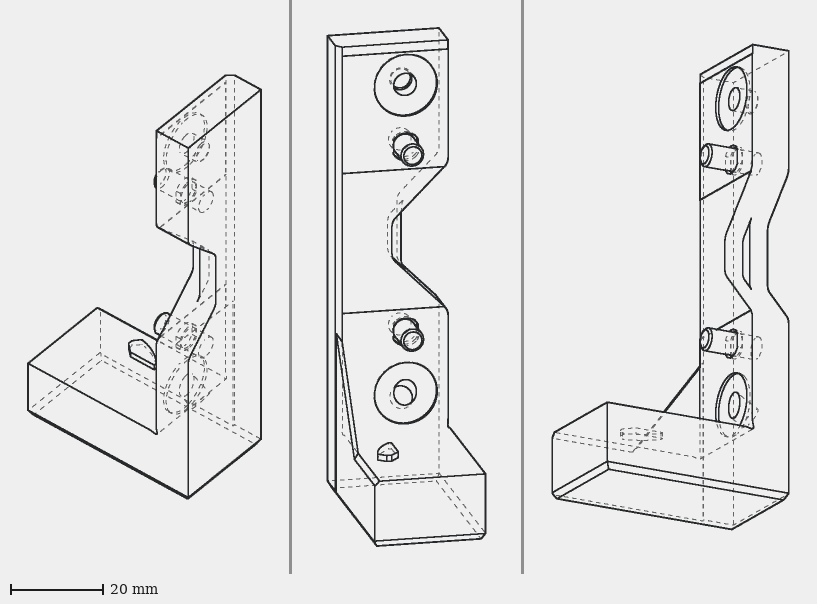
import cadquery as cq
import math


length = 45.0
width = 24.8
height = 102.6
plate_thickness = 9.0
base_height = 15.0
base_width = 24.6
base_chamfer = 1.0
plate_chamfer_run = 1.5
bottom_chamfer_height = 1.4
bottom_chamfer_inset = 0.8
plate_face_x = length - plate_thickness
flat_width = base_width - base_chamfer

pad_rise = 0.1
pad_top_z = 100.5
pad_gap_half = 15.9

notch_center_z = 58.0
notch_half_opening = 16.7
deep_notch = 12.5
shallow_notch = 9.4
notch_step_x = length - plate_thickness / 2
notch_fillet = 3.0

gusset_height = 20.5
gusset_run = 15.4

groove_depth = 0.3
groove_reach = 1.6
groove_radius = 0.5

hole_y = 9.4
hole_offset_z = 35.0
hole_diameter = 5.0
hole_depth = 4.6
spotface_diameter = 14.0
spotface_depth = 0.7
upper_hole_end_chamfer = 0.3
lower_hole_tilt = 30.0

pin_offset_z = 21.0
pin_diameter = 5.0
pin_projection = 6.7
pin_embedment = 6.2
pin_chamfer = 0.5
recess_diameter = 6.3
recess_width = 5.4
recess_depth = 1.2

leaf_height = 1.3
leaf_left_x = 13.6
leaf_right_x = 22.5
leaf_front_y = 15.8
leaf_left_front_y = 17.7
leaf_left_back_y = 18.9
leaf_front_corner_x = 15.8
leaf_right_back_y = 16.5
leaf_arc_middle = (19.1, 19.2)
leaf_back_corner = (15.1, 20.5)

overcut = 1.0


def box(x0, x1, y0, y1, z0, z1):
    """Block between two opposite corners."""
    return cq.Workplane("XY").box(x1 - x0, y1 - y0, z1 - z0, centered=False).translate((x0, y0, z0))


def face_sketch(z, depth):
    """Sketch on the hole centre line, below the plate face by depth and facing -X."""
    return cq.Workplane(cq.Plane(origin=(plate_face_x + depth, hole_y, z), xDir=(0, -1, 0), normal=(-1, 0, 0)))


def make_base():
    base = box(0, length, 0, base_width, 0, base_height)
    return base.edges(">Y and >Z").chamfer(base_chamfer)


def make_plate():
    back_x = plate_face_x + pad_rise
    plate = (
        cq.Workplane("XY")
        .moveTo(back_x, 0)
        .lineTo(back_x, flat_width)
        .lineTo(plate_face_x + plate_chamfer_run, width)
        .lineTo(length, width)
        .lineTo(length, 0)
        .close()
        .extrude(height)
    )
    lower_pad = box(plate_face_x, length, 0, flat_width, 0, notch_center_z - pad_gap_half)
    upper_pad = box(plate_face_x, length, 0, flat_width, notch_center_z + pad_gap_half, pad_top_z)
    return plate.union(lower_pad).union(upper_pad)


def make_gusset():
    """Thin triangle flush with the back of the base, rooted in its chamfer."""
    slope = gusset_height / gusset_run
    toe_x = plate_face_x - gusset_run
    buried_x = plate_face_x + plate_chamfer_run
    root_z = base_height - base_chamfer
    return (
        cq.Workplane("XZ", origin=(0, base_width, 0))
        .moveTo(toe_x - base_chamfer / slope, root_z)
        .lineTo(buried_x, base_height + slope * (buried_x - toe_x))
        .lineTo(buried_x, root_z)
        .close()
        .extrude(base_chamfer)
    )


def make_leaf_boss():
    return (
        cq.Workplane("XY", origin=(0, 0, base_height))
        .moveTo(leaf_left_x, leaf_left_front_y)
        .lineTo(leaf_front_corner_x, leaf_front_y)
        .lineTo(leaf_right_x, leaf_front_y)
        .lineTo(leaf_right_x, leaf_right_back_y)
        .threePointArc(leaf_arc_middle, leaf_back_corner)
        .lineTo(leaf_left_x, leaf_left_back_y)
        .close()
        .extrude(leaf_height)
    )


def make_envelope():
    """Outer block whose chamfered bottom edges trim the bracket."""
    envelope = box(0, length, 0, width, 0, height)
    return envelope.faces("<Z").chamfer(bottom_chamfer_height, bottom_chamfer_inset)


def make_notch(depth, x0, x1):
    """Cutter for a 45 degree V-notch with a flat root, rounded at all four corners."""
    half_root = notch_half_opening - depth
    lower_z = notch_center_z - notch_half_opening
    upper_z = notch_center_z + notch_half_opening
    margin = 2 * notch_fillet
    outline = [
        (-margin, lower_z - margin),
        (0, lower_z - margin),
        (0, lower_z),
        (depth, notch_center_z - half_root),
        (depth, notch_center_z + half_root),
        (0, upper_z),
        (0, upper_z + margin),
        (-margin, upper_z + margin),
    ]
    cutter = cq.Workplane("YZ", origin=(x0, 0, 0)).polyline(outline).close().extrude(x1 - x0)
    corners = cq.selectors.BoxSelector(
        (x0 - overcut, -overcut, lower_z - overcut),
        (x1 + overcut, depth + overcut, upper_z + overcut),
    )
    return cutter.edges("|X").edges(corners).fillet(notch_fillet)


def make_corner_groove():
    """Shallow undercut of both inside faces, joined by an arc at the corner."""
    center_x = plate_face_x + groove_depth - groove_radius
    center_z = base_height - groove_depth + groove_radius
    diagonal = groove_radius * math.sqrt(0.5)
    return (
        cq.Workplane("XZ")
        .moveTo(plate_face_x - groove_reach, base_height)
        .lineTo(center_x, base_height - groove_depth)
        .threePointArc((center_x + diagonal, center_z - diagonal), (plate_face_x + groove_depth, center_z))
        .lineTo(plate_face_x, base_height + groove_reach)
        .close()
        .extrude(-flat_width)
    )


def make_spotface(z):
    return face_sketch(z, spotface_depth).circle(spotface_diameter / 2).extrude(spotface_depth + overcut)


def make_drill(z, tilt):
    """Flat-ended drill entering at the spotface, pointing down by tilt degrees."""
    angle = math.radians(tilt)
    direction = cq.Vector(math.cos(angle), 0, -math.sin(angle))
    lead = hole_diameter / 2
    start = cq.Vector(plate_face_x + spotface_depth, hole_y, z) - direction * lead
    return cq.Workplane(cq.Solid.makeCylinder(hole_diameter / 2, lead + hole_depth, start, direction))


def make_pin_recess(z):
    """Round recess with two flat sides, around a pin."""
    cut_length = recess_depth + overcut
    disc = face_sketch(z, recess_depth).circle(recess_diameter / 2).extrude(cut_length)
    flats = face_sketch(z, recess_depth).rect(recess_width, recess_diameter).extrude(cut_length)
    return disc.intersect(flats)


def make_pin_hole(z):
    return face_sketch(z, pin_embedment).circle(pin_diameter / 2).extrude(pin_embedment)


def make_bracket(pin_heights):
    body = make_base().union(make_plate()).union(make_gusset())
    body = body.intersect(make_envelope())
    body = body.cut(make_notch(deep_notch, plate_face_x - overcut, notch_step_x))
    body = body.cut(make_notch(shallow_notch, notch_step_x, length + overcut))
    body = body.cut(make_corner_groove())

    upper_hole_z = notch_center_z + hole_offset_z
    upper_drill = make_drill(upper_hole_z, 0).faces(">X").chamfer(upper_hole_end_chamfer)
    body = body.cut(make_spotface(upper_hole_z)).cut(upper_drill)

    lower_hole_z = notch_center_z - hole_offset_z
    body = body.cut(make_spotface(lower_hole_z)).cut(make_drill(lower_hole_z, lower_hole_tilt))

    for z in pin_heights:
        body = body.cut(make_pin_recess(z)).cut(make_pin_hole(z))
    return body.union(make_leaf_boss())


def make_pin(z):
    pin = face_sketch(z, pin_embedment).circle(pin_diameter / 2).extrude(pin_embedment + pin_projection)
    return pin.faces("<X").chamfer(pin_chamfer)


pin_heights = [notch_center_z - pin_offset_z, notch_center_z + pin_offset_z]
bracket = make_bracket(pin_heights)
pins = [make_pin(z) for z in pin_heights]

result = cq.Compound.makeCompound([bracket.val(), *[pin.val() for pin in pins]])